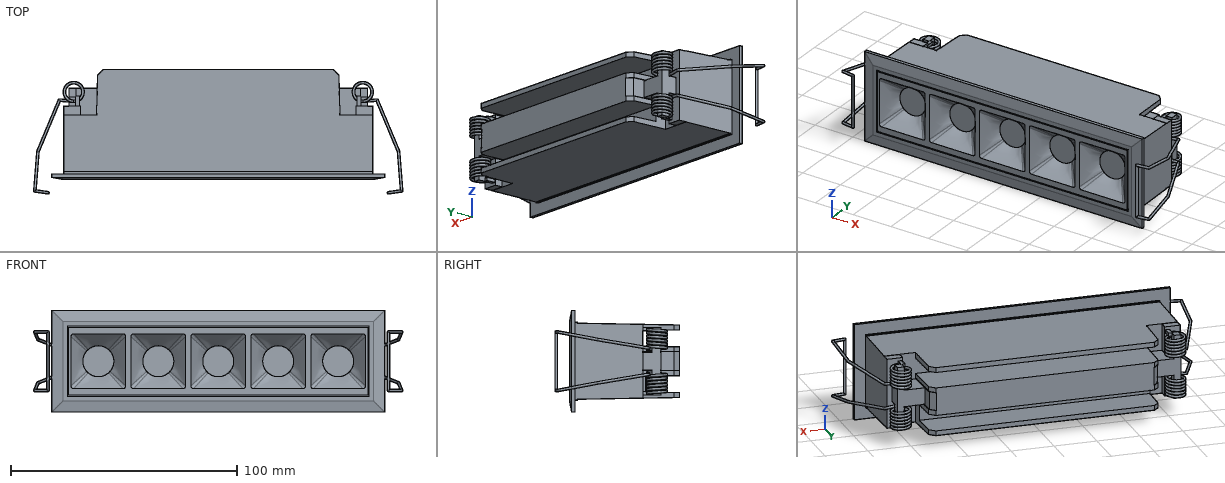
import cadquery as cq
import math


BEZEL_LENGTH = 147.2
BEZEL_HEIGHT = 45.0
BEZEL_BACK_Y = 2.5
BEZEL_EDGE_FRONT_Y = 0.9
BEZEL_SLOPE_WIDTH = 5.0
GROOVE_LENGTH = 133.4
GROOVE_HEIGHT = 31.0
GROOVE_WIDTH = 0.5
GROOVE_DEPTH = 1.5

CELL_COUNT = 5
CELL_PITCH = 26.5
CELL_SIZE = 24.2
CELL_CORNER_RADIUS = 1.2
CELL_DEPTH = 8.4
LENS_RADIUS = 6.85
LENS_CORNER_ANGLE = 7.0

BODY_HALF_LENGTH = 68.3
BODY_FRONT_HALF_HEIGHT = 16.87
BODY_DRAFT = 1.0
LIP_HALF_HEIGHT = 17.25
LIP_BACK_Y = 3.5
REAR_WALL_Y = 28.6
END_WALL_BACK_Y = 32.5
END_WALL_INNER_X = 61.0
END_WALL_HALF_HEIGHT = 16.3
BACK_Y = 48.7

FIN_ROOT_X = 53.8
FIN_TIP_X = 53.4
FIN_CHAMFER = 2.5
OUTER_FIN_INNER_Z = 13.8
CORE_HALF_HEIGHT = 6.5
CORE_WEB_HALF_HEIGHT = 4.2
CORE_WEB_RECESS = 0.3
LOWER_LEDGE_Y = 33.8

TAB_HALF_HEIGHT = 3.9
POST_INNER_X = 62.8
POST_OUTER_X = 66.0
POST_FRONT_Y = 36.4
ARM_INNER_X = 61.3
ARM_OUTER_X = 63.2
ARM_BACK_Y = 37.0
ARM_THICKNESS = 1.5
BRACKET_BACK_Y = 40.4
BRACKET_HALF_HEIGHT = 14.9

WIRE_RADIUS = 0.6
COIL_X = -63.9
COIL_Y = 38.7
COIL_RADIUS = 4.1
COIL_PITCH = 1.47
COIL_TURNS = 6.0
COIL_START_Z = 5.2
SPRING_LENGTH_OVER_ALL = 163.33
DEPTH_OVER_ALL = 55.14
LEG_SHOULDER = (-70.2, 35.1, 5.8)
LEG_KNEE = (-79.7, 12.4, 9.6)
LEG_END_Y = -5.0
FOOT_Z = 12.9
CROSSBAR_X = -75.3


def centered_box(length, y_start, y_end, height):
    """Box centred in X and Z that runs between two Y positions."""
    return cq.Workplane("XY").box(length, y_end - y_start, height).translate((0, (y_start + y_end) / 2, 0))


def box_between(x, y, z):
    """Box between two corners, each axis given as a (start, end) pair."""
    size = (x[1] - x[0], y[1] - y[0], z[1] - z[0])
    return cq.Workplane("XY").box(*size, centered=False).translate((x[0], y[0], z[0]))


def make_bezel():
    """Rectangular frame whose front rises from its rim to a flat land."""
    rim = centered_box(BEZEL_LENGTH, BEZEL_EDGE_FRONT_Y, BEZEL_BACK_Y, BEZEL_HEIGHT)
    slope = (
        cq.Workplane("XZ", origin=(0, BEZEL_EDGE_FRONT_Y, 0))
        .rect(BEZEL_LENGTH, BEZEL_HEIGHT)
        .workplane(offset=BEZEL_EDGE_FRONT_Y)
        .rect(BEZEL_LENGTH - 2 * BEZEL_SLOPE_WIDTH, BEZEL_HEIGHT - 2 * BEZEL_SLOPE_WIDTH)
        .loft(ruled=True)
    )
    return rim.union(slope)


def make_groove():
    """Thin rectangular groove that frames the cells."""
    outer = centered_box(GROOVE_LENGTH, 0, GROOVE_DEPTH, GROOVE_HEIGHT)
    inner = centered_box(
        GROOVE_LENGTH - 2 * GROOVE_WIDTH, 0, GROOVE_DEPTH, GROOVE_HEIGHT - 2 * GROOVE_WIDTH
    )
    return outer.cut(inner)


def quarter_turned(point, y, quarters):
    """Point (x, z) in the plane at y, turned about the Y axis by a number of quarter turns."""
    turn = math.radians(90 * quarters)
    x = point[0] * math.cos(turn) - point[1] * math.sin(turn)
    z = point[0] * math.sin(turn) + point[1] * math.cos(turn)
    return cq.Vector(x, y, z)


def eight_edge_wire(y, side_end, corner_middle, side_middle):
    """Closed wire of four sides and four corners in the plane at y.

    The three points describe the right side and the upper right corner: the upper end of the side,
    the middle of the corner arc, and the middle of the side.
    """
    edges = []
    for quarter in range(4):
        lower = quarter_turned((side_end[0], -side_end[1]), y, quarter)
        upper = quarter_turned(side_end, y, quarter)
        next_lower = quarter_turned((side_end[1], side_end[0]), y, quarter)
        if side_middle[0] == side_end[0]:
            edges.append(cq.Edge.makeLine(lower, upper))
        else:
            edges.append(cq.Edge.makeThreePointArc(lower, quarter_turned(side_middle, y, quarter), upper))
        edges.append(cq.Edge.makeThreePointArc(upper, quarter_turned(corner_middle, y, quarter), next_lower))
    return cq.Wire.assembleEdges(edges)


def make_cell():
    """Reflector cavity from a rounded square mouth to a round lens."""
    half = CELL_SIZE / 2
    arc_centre = half - CELL_CORNER_RADIUS
    corner = arc_centre + CELL_CORNER_RADIUS * math.sqrt(0.5)
    mouth = eight_edge_wire(0, (half, arc_centre), (corner, corner), (half, 0))

    side_angle = math.radians(45 - LENS_CORNER_ANGLE / 2)
    side_end = (LENS_RADIUS * math.cos(side_angle), LENS_RADIUS * math.sin(side_angle))
    diagonal = LENS_RADIUS * math.sqrt(0.5)
    lens = eight_edge_wire(CELL_DEPTH, side_end, (diagonal, diagonal), (LENS_RADIUS, 0))
    return cq.Workplane(cq.Solid.makeLoft([mouth, lens], True))


def body_half_height(y):
    """Half height of the drafted body at y."""
    return BODY_FRONT_HALF_HEIGHT - (y - LIP_BACK_Y) * math.tan(math.radians(BODY_DRAFT))


def fin_plan(root_x, tip_x):
    """Right-hand corner points of the fins as seen along Z, from the root to the back."""
    return [
        (root_x, REAR_WALL_Y),
        (tip_x, BACK_Y - FIN_CHAMFER),
        (tip_x - FIN_CHAMFER, BACK_Y),
    ]


def symmetric_plate(right_points, half_height):
    """Plate with an outline mirrored about the Y axis."""
    left_points = [(-x, y) for x, y in reversed(right_points)]
    return (
        cq.Workplane("XY", origin=(0, 0, -half_height))
        .polyline(right_points + left_points)
        .close()
        .extrude(2 * half_height)
    )


def make_body():
    """Drafted body with end walls, two outer fins and a thick core at the back."""
    outline = [
        (BODY_HALF_LENGTH, BEZEL_BACK_Y),
        (BODY_HALF_LENGTH, END_WALL_BACK_Y),
        (END_WALL_INNER_X, END_WALL_BACK_Y),
        (END_WALL_INNER_X, REAR_WALL_Y),
    ] + fin_plan(FIN_ROOT_X, FIN_TIP_X)
    blank = symmetric_plate(outline, LIP_HALF_HEIGHT)
    front = body_half_height(BEZEL_BACK_Y)
    back = body_half_height(BACK_Y)
    drafted = (
        cq.Workplane("YZ")
        .polyline([(BEZEL_BACK_Y, -front), (BEZEL_BACK_Y, front), (BACK_Y, back), (BACK_Y, -back)])
        .close()
        .extrude(BODY_HALF_LENGTH, both=True)
    )
    body = blank.intersect(drafted)

    slot_x = (-END_WALL_INNER_X, END_WALL_INNER_X)
    body = body.cut(box_between(slot_x, (REAR_WALL_Y, BACK_Y), (CORE_HALF_HEIGHT, OUTER_FIN_INNER_Z)))
    body = body.cut(box_between(slot_x, (LOWER_LEDGE_Y, BACK_Y), (-OUTER_FIN_INNER_Z, -CORE_HALF_HEIGHT)))

    web_plan = fin_plan(FIN_ROOT_X - CORE_WEB_RECESS, FIN_TIP_X - CORE_WEB_RECESS)
    web_space = symmetric_plate(fin_plan(FIN_ROOT_X, FIN_TIP_X), CORE_WEB_HALF_HEIGHT)
    body = body.cut(web_space).union(symmetric_plate(web_plan, CORE_WEB_HALF_HEIGHT))

    for side in (-1, 1):
        wall_x = sorted((side * END_WALL_INNER_X, side * BODY_HALF_LENGTH))
        for wall_z in (
            (END_WALL_HALF_HEIGHT, LIP_HALF_HEIGHT),
            (-LIP_HALF_HEIGHT, -END_WALL_HALF_HEIGHT),
        ):
            body = body.cut(box_between(wall_x, (REAR_WALL_Y, END_WALL_BACK_Y), wall_z))

    lip = centered_box(2 * BODY_HALF_LENGTH, BEZEL_BACK_Y, LIP_BACK_Y, 2 * LIP_HALF_HEIGHT)
    return body.union(lip)


def make_bracket(side):
    """Tab, post and two end arms that carry one spring; side is -1 or 1."""
    tab_x = sorted((side * (FIN_ROOT_X - FIN_CHAMFER), side * POST_OUTER_X))
    post_x = sorted((side * POST_INNER_X, side * POST_OUTER_X))
    arm_x = sorted((side * ARM_INNER_X, side * ARM_OUTER_X))
    tab = box_between(tab_x, (REAR_WALL_Y, BRACKET_BACK_Y), (-TAB_HALF_HEIGHT, TAB_HALF_HEIGHT))
    post = box_between(
        post_x, (POST_FRONT_Y, BRACKET_BACK_Y), (-BRACKET_HALF_HEIGHT, BRACKET_HALF_HEIGHT)
    )
    bracket = tab.union(post)
    arm_inner_z = BRACKET_HALF_HEIGHT - ARM_THICKNESS
    for arm_z in ((arm_inner_z, BRACKET_HALF_HEIGHT), (-BRACKET_HALF_HEIGHT, -arm_inner_z)):
        bracket = bracket.union(box_between(arm_x, (REAR_WALL_Y, ARM_BACK_Y), arm_z))
    return bracket


def make_housing():
    housing = make_bezel().union(make_body())
    for side in (-1, 1):
        housing = housing.union(make_bracket(side))
    housing = housing.cut(make_groove())
    cell = make_cell()
    for index in range(CELL_COUNT):
        cell_x = (index - (CELL_COUNT - 1) / 2) * CELL_PITCH
        housing = housing.cut(cell.translate((cell_x, 0, 0)))
    return housing


def make_coil():
    """Upper coil, starting at the front of its turn and rising counterclockwise."""
    helix = cq.Wire.makeHelix(COIL_PITCH, COIL_PITCH * COIL_TURNS, COIL_RADIUS)
    coil = (
        cq.Workplane("XZ", origin=(COIL_RADIUS, 0, 0))
        .circle(WIRE_RADIUS)
        .sweep(cq.Workplane(helix), isFrenet=True)
    )
    return coil.rotate((0, 0, 0), (0, 0, 1), -90).translate((COIL_X, COIL_Y, COIL_START_Z))


def make_bail():
    """Bent wire from the upper coil down one leg, across the crossbar and back to the lower coil."""
    coil_front_y = COIL_Y - COIL_RADIUS
    foot_end_y = BACK_Y - DEPTH_OVER_ALL + WIRE_RADIUS
    leg_end_x = -SPRING_LENGTH_OVER_ALL / 2 + WIRE_RADIUS
    upper = [
        (COIL_X, coil_front_y, COIL_START_Z),
        LEG_SHOULDER,
        LEG_KNEE,
        (leg_end_x, LEG_END_Y, FOOT_Z),
        (CROSSBAR_X, foot_end_y, FOOT_Z),
    ]
    lower = [(x, y, -z) for x, y, z in reversed(upper)]
    corners = [cq.Vector(*point) for point in upper + lower]
    bail = cq.Workplane()
    for start, end in zip(corners, corners[1:]):
        run = end - start
        bail = bail.add(cq.Solid.makeCylinder(WIRE_RADIUS, run.Length, start, run))
    for corner in corners[1:-1]:
        bail = bail.add(cq.Solid.makeSphere(WIRE_RADIUS, corner, angleDegrees1=-90))
    return bail.combine()


def make_spring():
    """Left-hand spring."""
    coil = make_coil()
    return make_bail().union(coil).union(coil.mirror("XY"))


housing = make_housing()
left_spring = make_spring()
right_spring = left_spring.mirror("YZ")

result = cq.Compound.makeCompound([housing.val(), left_spring.val(), right_spring.val()])